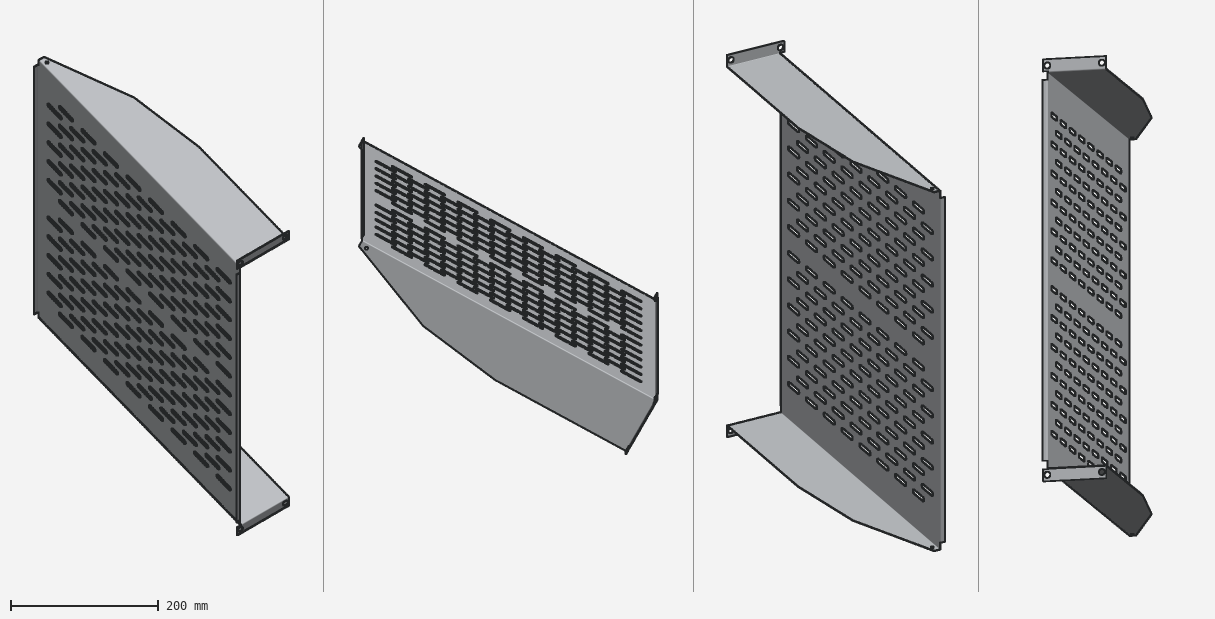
import cadquery as cq

LENGTH_X = 457.2
DEPTH_Y = 88.9
HEIGHT_Z = 584.2

SHEET = 1.2
BEND_INNER = 0.5
BEND_OUTER = BEND_INNER + SHEET

LIP_DEPTH = 6.1
LIP_HALF_HEIGHT = 263.5

EAR_WIDTH = 18.5
EAR_SETBACK = 0.8
EAR_CORNER_RADIUS = 1.5
EAR_HOLE_DIAMETER = 8.4
EAR_HOLE_SPACING = 76.2
EAR_HOLE_INSET_Z = 9.0

FLANGE_TIP_DROP = 73.0
FLANGE_KINK_X = 132.0
FLANGE_KINK_DROP = 18.3
FLANGE_FULL_X = 254.0

TIP_HOLE_DIAMETER = 4.0
TIP_HOLE_X = 12.0
TIP_HOLE_ABOVE_PANEL = 7.2

SLOT_LENGTH = 31.75
SLOT_WIDTH = 6.35
SLOT_PITCH_X = 50.8
SLOT_ROW_PITCH = 20.0
SLOTS_PER_ROW = 8
ROWS_PER_HALF = 11
SLOT_END_MARGIN = 38.1

PANEL_FRONT_Y = LIP_DEPTH
PANEL_BACK_Y = PANEL_FRONT_Y + SHEET
EAR_TOP_Z = HEIGHT_Z / 2
FLANGE_INNER_Z = EAR_TOP_Z - EAR_WIDTH
FLANGE_OUTER_Z = FLANGE_INNER_Z + SHEET
FOLD_START_X = BEND_OUTER
FOLD_END_X = LENGTH_X - BEND_OUTER
FLANGE_START_Y = PANEL_FRONT_Y + BEND_OUTER


def box(x_range, y_range, z_range):
    """Axis-aligned box given by its (low, high) limits."""
    sizes = [high - low for low, high in (x_range, y_range, z_range)]
    corner = (x_range[0], y_range[0], z_range[0])
    return cq.Workplane("XY").box(*sizes, centered=False).translate(corner)


def make_channel():
    """Panel and both side flanges as one rounded U, trimmed to the flange outline."""
    x_range = (FOLD_START_X, FOLD_END_X)
    outer = box(x_range, (PANEL_FRONT_Y, DEPTH_Y), (-FLANGE_OUTER_Z, FLANGE_OUTER_Z))
    outer = outer.edges("|X and <Y").fillet(BEND_OUTER)
    inner = box(x_range, (PANEL_BACK_Y, DEPTH_Y), (-FLANGE_INNER_Z, FLANGE_INNER_Z))
    inner = inner.edges("|X and <Y").fillet(BEND_INNER)

    outline = [
        (FOLD_START_X, PANEL_FRONT_Y),
        (FOLD_END_X, PANEL_FRONT_Y),
        (FOLD_END_X, DEPTH_Y),
        (FLANGE_FULL_X, DEPTH_Y),
        (FLANGE_KINK_X, DEPTH_Y - FLANGE_KINK_DROP),
        (FOLD_START_X, DEPTH_Y - FLANGE_TIP_DROP),
    ]
    side_prism = cq.Workplane("XY").polyline(outline).close().extrude(FLANGE_OUTER_Z, both=True)
    return outer.cut(inner).intersect(side_prism)


def make_fold(origin, base_direction, normal, projection, length):
    """Bend and flat of a folded edge, extruded along the normal.

    The origin is the sharp outer corner of the fold. The base sheet runs along
    base_direction and ends at the bend; the folded flat has the given projection.
    """
    plane = cq.Plane(origin=origin, xDir=base_direction, normal=normal)
    return (
        cq.Workplane(plane)
        .moveTo(BEND_OUTER, 0)
        .lineTo(BEND_OUTER, SHEET)
        .radiusArc((SHEET, BEND_OUTER), BEND_INNER)
        .lineTo(SHEET, projection)
        .lineTo(0, projection)
        .lineTo(0, BEND_OUTER)
        .radiusArc((BEND_OUTER, 0), -BEND_OUTER)
        .close()
        .extrude(length)
    )


def make_lips():
    projection = LIP_DEPTH + SHEET
    length = 2 * LIP_HALF_HEIGHT
    narrow_end = make_fold(
        (0, PANEL_BACK_Y, LIP_HALF_HEIGHT), (1, 0, 0), (0, 0, -1), projection, length
    )
    wide_end = make_fold(
        (LENGTH_X, PANEL_BACK_Y, -LIP_HALF_HEIGHT), (-1, 0, 0), (0, 0, 1), projection, length
    )
    return narrow_end.union(wide_end)


def make_upper_ear():
    """Ear folded off the flange, its flat continuing forward past the panel."""
    fold = make_fold(
        (LENGTH_X, FLANGE_START_Y, FLANGE_INNER_Z),
        (-1, 0, 0),
        (0, 1, 0),
        EAR_WIDTH,
        DEPTH_Y - FLANGE_START_Y,
    )
    front_flat = box(
        (LENGTH_X - SHEET, LENGTH_X),
        (EAR_SETBACK, FLANGE_START_Y),
        (FLANGE_INNER_Z + BEND_OUTER, EAR_TOP_Z),
    )
    front_flat = front_flat.edges("|X and >Z and <Y").fillet(EAR_CORNER_RADIUS)

    hole_z = EAR_TOP_Z - EAR_HOLE_INSET_Z
    middle_y = (EAR_SETBACK + DEPTH_Y) / 2
    hole_centres = [(middle_y + side * EAR_HOLE_SPACING / 2, hole_z) for side in (-1, 1)]
    holes = (
        cq.Workplane("YZ", origin=(LENGTH_X - SHEET, 0, 0))
        .pushPoints(hole_centres)
        .circle(EAR_HOLE_DIAMETER / 2)
        .extrude(SHEET)
    )
    return fold.union(front_flat).cut(holes)


def make_tip_holes():
    """One drill along Z that pierces both side flanges."""
    return (
        cq.Workplane("XY")
        .center(TIP_HOLE_X, PANEL_FRONT_Y + TIP_HOLE_ABOVE_PANEL)
        .circle(TIP_HOLE_DIAMETER / 2)
        .extrude(FLANGE_OUTER_Z, both=True)
    )


def slot_centres():
    """Staggered rows, symmetric about a plain band at mid-height."""
    row_span = (SLOTS_PER_ROW - 1) * SLOT_PITCH_X
    centres = []
    for row in range(-ROWS_PER_HALF, ROWS_PER_HALF + 1):
        if row == 0:
            continue
        if row % 2:
            first_x = LENGTH_X - SLOT_END_MARGIN - row_span
        else:
            first_x = SLOT_END_MARGIN
        for column in range(SLOTS_PER_ROW):
            centres.append((first_x + column * SLOT_PITCH_X, row * SLOT_ROW_PITCH))
    return centres


def make_slots():
    return (
        cq.Workplane("XZ", origin=(0, PANEL_BACK_Y, 0))
        .pushPoints(slot_centres())
        .slot2D(SLOT_LENGTH, SLOT_WIDTH)
        .extrude(SHEET)
    )


upper_ear = make_upper_ear()
lower_ear = upper_ear.mirror("XY")

result = (
    make_channel()
    .cut(make_slots())
    .cut(make_tip_holes())
    .union(make_lips())
    .union(upper_ear)
    .union(lower_ear)
    .clean()
)